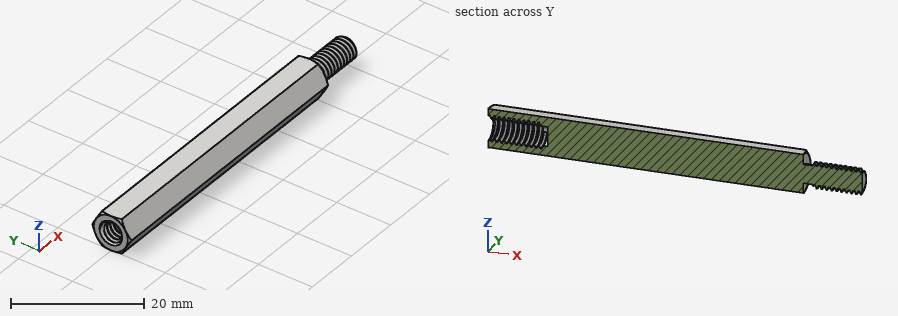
import cadquery as cq
import math

total_length = 60.3
body_length = 50.8
stud_length = total_length - body_length
across_flats = 6.35
across_corners = across_flats / math.cos(math.radians(30))
end_face_diameter = 6.3
corner_chamfer_angle = 30.0

major_diameter = 4.15
turns_along_stud = 12
pitch = stud_length / turns_along_stud
thread_angle = 60.0
crest_flat = pitch / 8
cut_overrun = 0.05

neck_diameter = 3.15
neck_length = 1.45
root_diameter = 3.2
stud_chamfer = 0.3
stud_groove_start = body_length + 1.15

bore_diameter = 3.1
bore_depth = stud_length
mouth_diameter = 4.2


def revolve_about_x(points):
    """Turn a closed (x, radius) outline around the X axis."""
    return cq.Workplane("XY").polyline(points).close().revolve(360, (0, 0), (1, 0))


def helical_cutter(start_x, length, base_radius, base_width, tip_radius, tip_width):
    """Right-handed helical cutter along X with a trapezoidal section."""
    path = cq.Workplane(obj=cq.Wire.makeHelix(pitch, length, base_radius))
    section = (
        cq.Workplane("XZ")
        .moveTo(base_radius, -base_width / 2)
        .lineTo(tip_radius, -tip_width / 2)
        .lineTo(tip_radius, tip_width / 2)
        .lineTo(base_radius, base_width / 2)
        .close()
    )
    cutter = section.sweep(path, isFrenet=True)
    return cutter.rotate((0, 0, 0), (1, 1, 1), 120).translate((start_x, 0, 0))


def flank_run(radial_height):
    """Total change in groove width over a given radial height."""
    return 2 * radial_height * math.tan(math.radians(thread_angle / 2))


def make_body():
    """Hexagonal bar with its corners turned off at both ends."""
    hexagon = cq.Workplane("YZ").polygon(6, across_corners).extrude(body_length)
    face_radius = end_face_diameter / 2
    corner_radius = across_corners / 2 + cut_overrun
    drop = (corner_radius - face_radius) * math.tan(math.radians(corner_chamfer_angle))
    envelope = revolve_about_x([
        (0, 0),
        (0, face_radius),
        (drop, corner_radius),
        (body_length - drop, corner_radius),
        (body_length, face_radius),
        (body_length, 0),
    ])
    return hexagon.intersect(envelope)


def make_stud():
    """Necked stud, chamfered at both thread ends, with a helical groove."""
    neck_radius = neck_diameter / 2
    major_radius = major_diameter / 2
    root_radius = root_diameter / 2
    thread_start = body_length + neck_length
    blank = revolve_about_x([
        (body_length, 0),
        (body_length, neck_radius),
        (thread_start, neck_radius),
        (thread_start + stud_chamfer, major_radius),
        (total_length - stud_chamfer, major_radius),
        (total_length, neck_radius),
        (total_length, 0),
    ])
    groove_mouth = pitch - crest_flat
    root_width = groove_mouth - flank_run(major_radius - root_radius)
    outer_radius = major_radius + cut_overrun
    groove = helical_cutter(
        stud_groove_start, total_length + pitch - stud_groove_start,
        root_radius, root_width, outer_radius, groove_mouth + flank_run(cut_overrun),
    )
    return blank.cut(groove)


def make_tapped_hole():
    """Blind bore with a countersunk mouth and a helical internal groove."""
    bore_radius = bore_diameter / 2
    mouth_radius = mouth_diameter / 2
    countersink_depth = mouth_radius - bore_radius
    bore = revolve_about_x([
        (0, 0),
        (0, mouth_radius),
        (countersink_depth, bore_radius),
        (bore_depth, bore_radius),
        (bore_depth, 0),
    ])
    groove = helical_cutter(
        -pitch, bore_depth,
        bore_radius - cut_overrun, pitch - crest_flat, major_diameter / 2, crest_flat,
    )
    return bore, groove


bore, hole_groove = make_tapped_hole()
result = make_body().cut(bore).cut(hole_groove).union(make_stud())